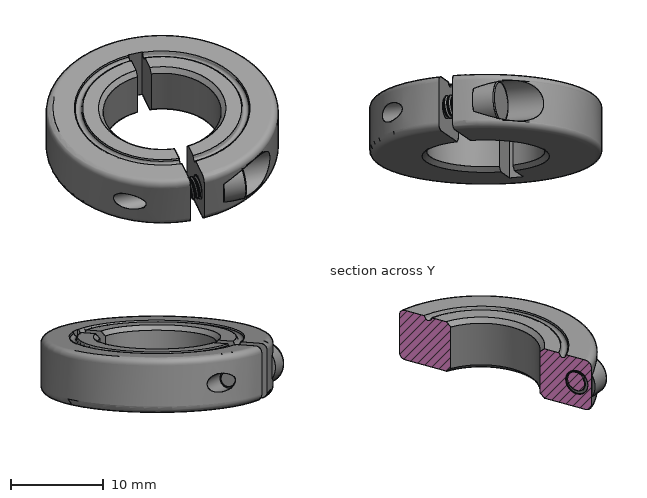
import cadquery as cq

outer_diameter = 25
bore_diameter = 12.7
height = 6
rim_fillet = 0.75
bore_chamfer = 0.5

groove_center_radius = 9
groove_width = 0.9
groove_depth = 0.45
groove_side_width = 0.1
groove_side_depth = 0.15

slot_width = 1.55
slot_depth_left = 9.5

screw_x = 10.25
head_diameter = 4.5
head_height = 2.5
head_seat_y = 3.08
head_edge_chamfer = 0.12
shank_length = 8
minor_diameter = 2.05
major_diameter = 2.5
thread_pitch = 0.45
thread_start_depth = 0.6
thread_crest_width = 0.05
thread_root_gap = 0.05
thread_root_overlap = 0.05
tip_chamfer = 0.2
clearance_diameter = 2.72

outer_radius = outer_diameter / 2
half_slot = slot_width / 2
tip_y = head_seat_y - shank_length


def cylinder_along_y(diameter, y_start, y_end):
    """Cylinder on the screw axis between two Y positions."""
    base = cq.Workplane("XZ", origin=(screw_x, y_end, 0))
    return base.circle(diameter / 2).extrude(y_end - y_start)


def make_ring():
    ring = cq.Workplane("XY").circle(outer_radius).extrude(height / 2, both=True)
    ring = ring.edges().fillet(rim_fillet)
    ring = ring.cut(cq.Workplane("XY").circle(bore_diameter / 2).extrude(height / 2, both=True))
    bore_edges = cq.selectors.RadiusNthSelector(0)
    ring = ring.faces("<Z or >Z").edges(bore_edges).chamfer(bore_chamfer)
    top_z = height / 2
    arc_z = top_z - groove_side_depth
    inner_edge = groove_center_radius - groove_width / 2
    outer_edge = groove_center_radius + groove_width / 2
    groove = (
        cq.Workplane("XZ")
        .moveTo(inner_edge, top_z)
        .lineTo(inner_edge + groove_side_width, arc_z)
        .threePointArc(
            (groove_center_radius, top_z - groove_depth),
            (outer_edge - groove_side_width, arc_z),
        )
        .lineTo(outer_edge, top_z)
        .close()
        .revolve(360, (0, 0, 0), (0, 1, 0))
    )
    return ring.cut(groove)


def cut_split(ring):
    slot_length = slot_depth_left + outer_radius
    slot_center_x = (outer_radius - slot_depth_left) / 2
    slot = cq.Workplane("XY").box(slot_length, slot_width, height).translate((slot_center_x, 0, 0))
    return ring.cut(slot)


def cut_screw_holes(ring):
    counterbore = cylinder_along_y(head_diameter, head_seat_y, outer_radius)
    clearance = cylinder_along_y(clearance_diameter, 0, head_seat_y)
    tapped_hole = cylinder_along_y(minor_diameter, -outer_radius, 0)
    return ring.cut(counterbore).cut(clearance).cut(tapped_hole)


def make_thread():
    """Helical ridge from just inside the tapped half up to the screw head."""
    start_y = -half_slot - thread_start_depth
    length = head_seat_y - start_y
    root_radius = minor_diameter / 2 - thread_root_overlap
    half_root = (thread_pitch - thread_root_gap) / 2
    half_crest = thread_crest_width / 2
    path = cq.Wire.makeHelix(thread_pitch, length, root_radius)
    ridge = (
        cq.Workplane("XZ")
        .polyline([
            (root_radius, -half_root),
            (major_diameter / 2, -half_crest),
            (major_diameter / 2, half_crest),
            (root_radius, half_root),
        ])
        .close()
        .sweep(cq.Workplane("XY").add(path), isFrenet=True)
    )
    return ridge.rotate((0, 0, 0), (1, 0, 0), -90).translate((screw_x, start_y, 0))


def make_screw():
    head = cylinder_along_y(head_diameter, head_seat_y, head_seat_y + head_height)
    head = head.faces(">Y").edges().chamfer(head_edge_chamfer)
    core = cylinder_along_y(minor_diameter, tip_y, head_seat_y + head_height / 2)
    core = core.faces("<Y").edges().chamfer(tip_chamfer)
    return core.union(make_thread()).union(head)


collar = cut_screw_holes(cut_split(make_ring()))
result = collar.union(make_screw())